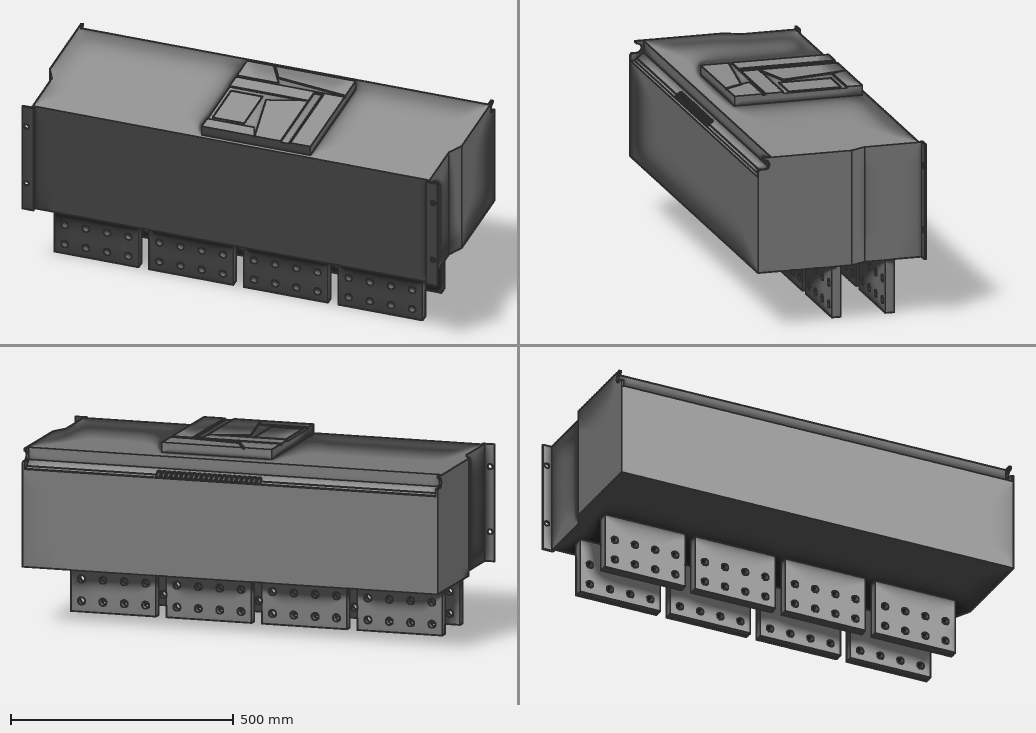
import cadquery as cq
import math

width = 993.0
depth = 394.0
housing_height = 269.0
sheet = 5.0
flange_thickness = 4.0

back_half_width = 493.0
neck_half_width = 475.0
taper_front = 138.0
taper_back = 174.0
flange_hole_dia = 12.0
flange_hole_inset = 10.0
flange_hole_heights = (68.0, 217.0)

hook_tip_y = 382.0
hook_thickness = 6.0
hook_tip_thickness = 3.0
slot_radius = 11.0
slot_center_y = 378.0
sheet_corner_radius = 6.0
slot_top = housing_height - hook_thickness
slot_bottom = slot_top - 2 * slot_radius

block_front = 10.0
ledge_y = 363.0
slope_angle = 36.0
slope_foot_y = 385.0
seam_y = 379.0
seam_drop = 1.0

vent_count = 21
vent_pitch = 12.0
vent_first_x = -63.0
vent_width = 9.0
vent_front = 369.0
vent_back = slope_foot_y
vent_depth = 5.0

panel_left = -74.0
panel_right = 186.0
panel_front = 21.0
panel_back = 322.0
panel_height = 23.0
recess_depth = 3.0

groove_front = 248.0
groove_back = 255.0
branch_fork_x = 17.0
branch_fork_y = 278.0
branch_corner_x = 26.0
branch_end_x = -10.0
branch_end_width = 4.0

field_front = 57.0
field_back = 207.0
field_corner_x = 39.0
field_point_x = 52.0
field_notch_x = 23.0
field_notch_y = 177.0

label_inset = 9.0
label_width = 75.0
label_front = 69.0
label_back = 192.0
label_height = 1.0

trough_left = 114.0
trough_width = 20.0
trough_back = 243.0
trough_ledge = 3.0

bar_count = 4
bar_pitch = 226.0
bar_width = 202.0
bar_drop = 135.0
bar_thickness = 21.0
bar_fronts = (58.0, 184.0)
bar_hole_dia = 17.0
bar_hole_pitch = 51.0
bar_hole_columns = 4
bar_hole_rows = 2
bar_lowest_hole = 25.0


def box(x0, x1, y0, y1, z0, z1):
    """Axis-aligned block between two opposite corners."""
    return cq.Workplane("XY").box(x1 - x0, y1 - y0, z1 - z0, centered=False).translate((x0, y0, z0))


def prism(points, z0, z1):
    """Vertical prism over an XY outline."""
    return cq.Workplane("XY").workplane(offset=z0).polyline(points).close().extrude(z1 - z0)


def block_outline(inset, front):
    """Plan outline of the housing, with its sides moved inwards by inset."""
    back = back_half_width - inset
    neck = neck_half_width - inset
    right = [(neck, front), (neck, taper_front), (back, taper_back), (back, depth)]
    left = [(-x, y) for x, y in reversed(right)]
    return right + left


def slope_height(y):
    """Height of the rear slope at a given Y."""
    return slot_bottom - (y - ledge_y) * math.tan(math.radians(slope_angle))


def rear_profile():
    """YZ region kept by the central block: a ledge, then a slope with a seam down to a flat shelf."""
    seam_z = slope_height(seam_y)
    foot_z = slope_height(slope_foot_y) - seam_drop
    outline = [
        (0, 0), (depth, 0), (depth, foot_z), (slope_foot_y, foot_z), (seam_y, seam_z - seam_drop),
        (seam_y, seam_z), (ledge_y, slot_bottom), (ledge_y, housing_height), (0, housing_height),
    ]
    return cq.Workplane("YZ").polyline(outline).close().extrude(width / 2, both=True)


def vent_cutters():
    """Round-ended slots following the rear slope."""
    middle_y = (vent_front + vent_back) / 2
    middle_z = slope_height(middle_y)
    length = (vent_back - vent_front) / math.cos(math.radians(slope_angle))
    centers = [(vent_first_x + i * vent_pitch, 0) for i in range(vent_count)]
    row = cq.Workplane("XY").pushPoints(centers).slot2D(length, vent_width, 90).extrude(vent_depth, both=True)
    return row.rotate((0, 0, 0), (1, 0, 0), -slope_angle).translate((0, middle_y, middle_z))


def central_block():
    """Solid between the side sheets, with the rear ledge, slope and vents."""
    body = prism(block_outline(sheet, block_front), 0, housing_height)
    return body.intersect(rear_profile()).cut(vent_cutters())


def hook_profile():
    """YZ outline kept by the side sheets, with the hook slot at its upper back corner."""
    slot_middle = slot_top - slot_radius
    return (
        cq.Workplane("YZ")
        .moveTo(0, 0)
        .lineTo(depth, 0)
        .lineTo(depth, slot_bottom - sheet_corner_radius)
        .radiusArc((depth - sheet_corner_radius, slot_bottom), -sheet_corner_radius)
        .lineTo(slot_center_y, slot_bottom)
        .threePointArc((slot_center_y - slot_radius, slot_middle), (slot_center_y, slot_top))
        .lineTo(hook_tip_y, housing_height - hook_tip_thickness)
        .lineTo(hook_tip_y, housing_height)
        .lineTo(0, housing_height)
        .close()
        .extrude(width / 2, both=True)
    )


def side_sheets():
    """Both bent side sheets with their front flanges and mounting holes."""
    shell = prism(block_outline(0, 0), 0, housing_height)
    cavity = prism(block_outline(sheet, 0), 0, housing_height)
    sheets = shell.cut(cavity).intersect(hook_profile())
    hole_x = width / 2 - flange_hole_inset
    for side in (-1, 1):
        left, right = sorted((side * width / 2, side * (neck_half_width - sheet)))
        sheets = sheets.union(box(left, right, 0, flange_thickness, 0, housing_height))
    holes = (
        cq.Workplane("XZ")
        .pushPoints([(side * hole_x, z) for side in (-1, 1) for z in flange_hole_heights])
        .circle(flange_hole_dia / 2)
        .extrude(-flange_thickness)
    )
    return sheets.cut(holes)


def panel():
    """Operator panel with two faceted recesses, a label plate and a trough."""
    top = housing_height + panel_height
    floor = top - recess_depth
    plate = box(panel_left, panel_right, panel_front, panel_back, housing_height, top)

    upper_recess = [
        (panel_left, groove_front),
        (panel_right, groove_front),
        (panel_right, groove_back),
        (branch_fork_x, branch_fork_y),
        (branch_end_x + branch_end_width, panel_back),
        (branch_end_x, panel_back),
        (branch_corner_x, groove_back),
        (panel_left, groove_back),
    ]
    lower_recess = [
        (panel_left, field_front),
        (field_corner_x, field_front),
        (field_point_x, panel_front),
        (field_notch_x, field_notch_y),
        (trough_left, field_back),
        (panel_left, field_back),
    ]
    for outline in (upper_recess, lower_recess):
        plate = plate.cut(prism(outline, floor, top))

    trough_right = trough_left + trough_width
    ledge_z = top - recess_depth / 2
    plate = plate.cut(box(trough_left, trough_right, panel_front, trough_back, floor, top))
    plate = plate.cut(box(trough_right, trough_right + trough_ledge, panel_front, trough_back, ledge_z, top))

    label_left = panel_left + label_inset
    label = box(label_left, label_left + label_width, label_front, label_back, floor, floor + label_height)
    return plate.union(label)


def connection_bars():
    """Two rows of flat bars, each drilled front to back with a grid of holes."""
    bars = cq.Workplane("XY")
    centers = [(i - (bar_count - 1) / 2) * bar_pitch for i in range(bar_count)]
    columns = [(i - (bar_hole_columns - 1) / 2) * bar_hole_pitch for i in range(bar_hole_columns)]
    heights = [bar_lowest_hole - bar_drop + i * bar_hole_pitch for i in range(bar_hole_rows)]
    hole_points = [(x + column, z) for x in centers for column in columns for z in heights]
    for x in centers:
        for y in bar_fronts:
            bar = box(x - bar_width / 2, x + bar_width / 2, y, y + bar_thickness, -bar_drop, 0)
            bars = bars.union(bar)
    holes = cq.Workplane("XZ").pushPoints(hole_points).circle(bar_hole_dia / 2).extrude(-depth)
    return bars.cut(holes)


result = central_block().union(side_sheets()).union(panel()).union(connection_bars())